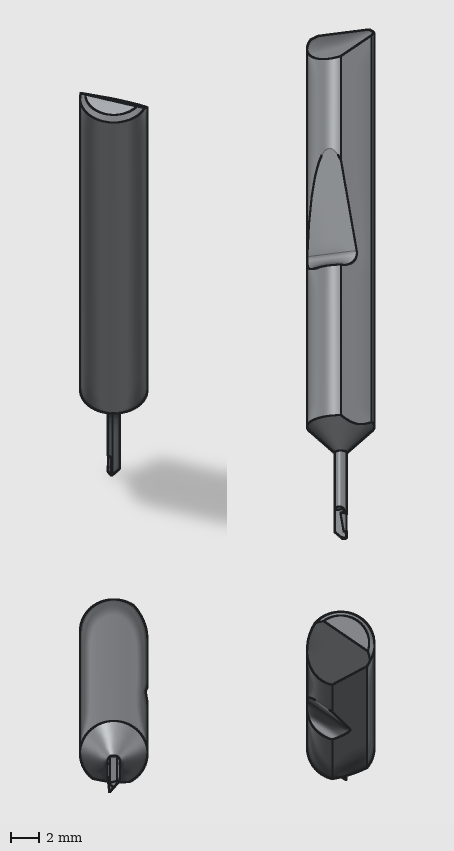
import cadquery as cq

length = 38.1
shank_radius = 2.38
neck_radius = 0.44
shank_bottom = 8.35
neck_top = shank_bottom - (shank_radius - neck_radius)
top_chamfer = 0.4

flat_distance = 2.0
flat_angle = 143.5

slope_start_y = -0.6
slope_drop = shank_radius - slope_start_y

notch_top = 28.4
notch_bottom = 19.62
notch_floor_y = 0.95
notch_radius = 1.15

relief_top = 2.2
relief_shoulder_y = 0.25
relief_shoulder_z = relief_top - (neck_radius - relief_shoulder_y)
relief_end_y = 0.0
face_top = 1.83
face_distance = 0.21
face_angle = 135.0
front_flat_distance = 0.35
neck_flat_angle = -45.0
tip_flat_angle = -135.0
foot_height = 0.45
foot_distance = 0.3
lowest_x = -0.25
corner_start_x = 0.0
corner_start_z = 0.08
corner_end_z = 0.5

clearance = 0.4


def turned_blank():
    """Shank, cone and neck as one turned profile around Z."""
    return (
        cq.Workplane("XZ")
        .moveTo(0, 0)
        .lineTo(neck_radius, 0)
        .lineTo(neck_radius, neck_top)
        .lineTo(shank_radius, shank_bottom)
        .lineTo(shank_radius, length - top_chamfer)
        .lineTo(shank_radius - top_chamfer, length)
        .lineTo(0, length)
        .close()
        .revolve(360, (0, 0), (0, 1))
    )


def flat_cutter(distance, angle, bottom, top):
    """Block whose inner face lies at a distance from the axis, facing the given angle."""
    size = 2 * shank_radius
    return (
        cq.Workplane("XY")
        .box(size, 2 * size, top - bottom, centered=(False, True, False))
        .translate((distance, 0, bottom))
        .rotate((0, 0, 0), (0, 0, 1), angle)
    )


def side_cutter(points):
    """Prism through the full width, from a (Y, Z) outline."""
    return cq.Workplane("YZ").polyline(points).close().extrude(shank_radius + clearance, both=True)


def top_slope():
    reach = slope_drop + clearance
    return side_cutter([
        (slope_start_y - clearance, length + clearance),
        (slope_start_y + reach, length - reach),
        (slope_start_y + reach, length + clearance),
    ])


def clamping_notch():
    outside_y = shank_radius + clearance
    cutter = side_cutter([
        (shank_radius, notch_top),
        (notch_floor_y, notch_bottom),
        (outside_y, notch_bottom),
        (outside_y, notch_top),
    ])
    return cutter.edges("|X").edges("<Y").fillet(notch_radius)


def back_relief():
    """Tapered clearance on the +Y side of the tip."""
    outside_y = neck_radius + clearance
    return side_cutter([
        (neck_radius, relief_top),
        (relief_shoulder_y, relief_shoulder_z),
        (relief_end_y, 0),
        (outside_y, 0),
        (outside_y, relief_top),
    ])


def tip_corner():
    """End sloping gently up from its lowest point, then steeply across the +X corner."""
    return (
        cq.Workplane("XZ")
        .polyline([
            (lowest_x, 0),
            (corner_start_x, corner_start_z),
            (neck_radius, corner_end_z),
            (neck_radius, 0),
        ])
        .close()
        .extrude(neck_radius + clearance, both=True)
    )


result = (
    turned_blank()
    .cut(flat_cutter(flat_distance, flat_angle, shank_bottom - shank_radius, length))
    .cut(top_slope())
    .cut(clamping_notch())
    .cut(back_relief())
    .cut(flat_cutter(front_flat_distance, neck_flat_angle, 0, neck_top))
    .cut(flat_cutter(front_flat_distance, tip_flat_angle, 0, face_top))
    .cut(flat_cutter(face_distance, face_angle, foot_height, face_top))
    .cut(flat_cutter(foot_distance, face_angle, 0, foot_height))
    .cut(tip_corner())
)